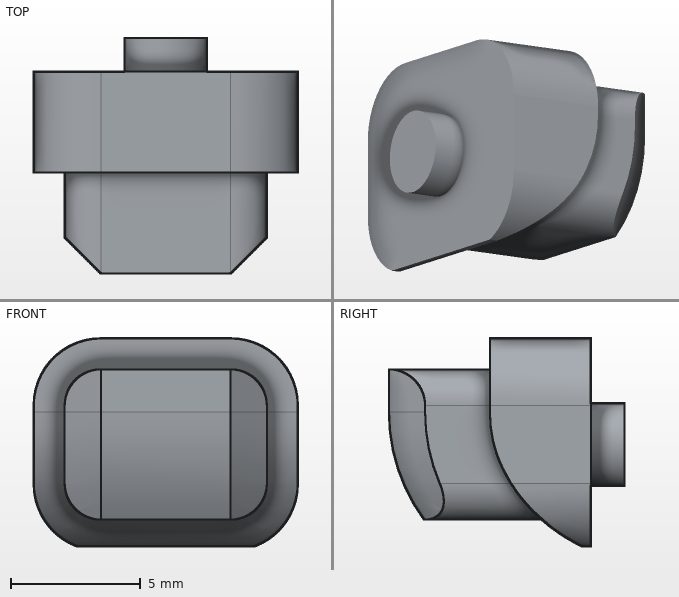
import cadquery as cq

COLLAR_WIDTH = 10.2
COLLAR_HEIGHT = 8.2
COLLAR_DEPTH = 3.9
COLLAR_RADIUS = 2.6
BOTTOM_TRIM = 0.17
COLLAR_FOOT_DEPTH = 0.35

COLLAR_MID_DEPTH = 3.09
COLLAR_MID_DROP = 2.75
COLLAR_FOOT_DIRECTION = (2, -1)

INSET = 1.2
NOSE_WIDTH = COLLAR_WIDTH - 2 * INSET
NOSE_HEIGHT = COLLAR_HEIGHT - 2 * INSET
NOSE_RADIUS = COLLAR_RADIUS - INSET
NOSE_REACH = 2 * COLLAR_DEPTH
NOSE_FRONT_RADIUS = 7.0
NOSE_CHAMFER = NOSE_RADIUS

STUB_RADIUS = 1.6
STUB_LENGTH = 1.3

CURVE_START_Z = 1.25
COLLAR_TOP = COLLAR_HEIGHT / 2
COLLAR_BOTTOM = BOTTOM_TRIM - COLLAR_TOP


def rounded_block(width, height, depth, radius):
    """Block from Y = 0 to Y = -depth with its four long edges rounded."""
    block = cq.Workplane("XZ").rect(width, height).extrude(depth)
    return block.edges("|Y").fillet(radius)


def make_collar():
    """Rounded block trimmed to the curved side profile and the flat bottom."""
    profile = (
        cq.Workplane("YZ", origin=(-COLLAR_WIDTH / 2, 0, 0))
        .moveTo(0, COLLAR_TOP)
        .lineTo(-COLLAR_DEPTH, COLLAR_TOP)
        .lineTo(-COLLAR_DEPTH, CURVE_START_Z)
        .spline(
            [
                (-COLLAR_MID_DEPTH, CURVE_START_Z - COLLAR_MID_DROP),
                (-COLLAR_FOOT_DEPTH, COLLAR_BOTTOM),
            ],
            tangents=[(0, -1), COLLAR_FOOT_DIRECTION],
            includeCurrent=True,
        )
        .lineTo(0, COLLAR_BOTTOM)
        .close()
        .extrude(COLLAR_WIDTH)
    )
    block = rounded_block(COLLAR_WIDTH, COLLAR_HEIGHT, COLLAR_DEPTH, COLLAR_RADIUS)
    return block.intersect(profile)


def nose_profile(x, setback):
    """Closed side profile of the nose at a given X, its front moved back by setback."""
    half_height = NOSE_HEIGHT / 2
    front = setback - NOSE_REACH
    centre_y = front + NOSE_FRONT_RADIUS

    def arc_point(z):
        rise = z - CURVE_START_Z
        return (centre_y - (NOSE_FRONT_RADIUS**2 - rise**2) ** 0.5, z)

    return (
        cq.Workplane("YZ", origin=(x, 0, 0))
        .moveTo(0, half_height)
        .lineTo(front, half_height)
        .lineTo(front, CURVE_START_Z)
        .threePointArc(arc_point((CURVE_START_Z - half_height) / 2), arc_point(-half_height))
        .lineTo(0, -half_height)
        .close()
    )


def make_nose():
    """Rounded block with an arched front and a 45 degree chamfer down each side."""
    half_width = NOSE_WIDTH / 2
    half_flat = half_width - NOSE_CHAMFER
    envelope = nose_profile(-half_flat, 0).extrude(2 * half_flat)
    for side in (-1, 1):
        inner = nose_profile(side * half_flat, 0).val()
        outer = nose_profile(side * half_width, NOSE_CHAMFER).val()
        flank = cq.Solid.makeLoft([inner, outer], True)
        envelope = envelope.union(cq.Workplane(flank))
    block = rounded_block(NOSE_WIDTH, NOSE_HEIGHT, NOSE_REACH, NOSE_RADIUS)
    return block.intersect(envelope)


def make_stub():
    """Cylinder standing on the back of the collar."""
    return cq.Workplane("XZ").circle(STUB_RADIUS).extrude(-STUB_LENGTH)


result = make_collar().union(make_nose()).union(make_stub())